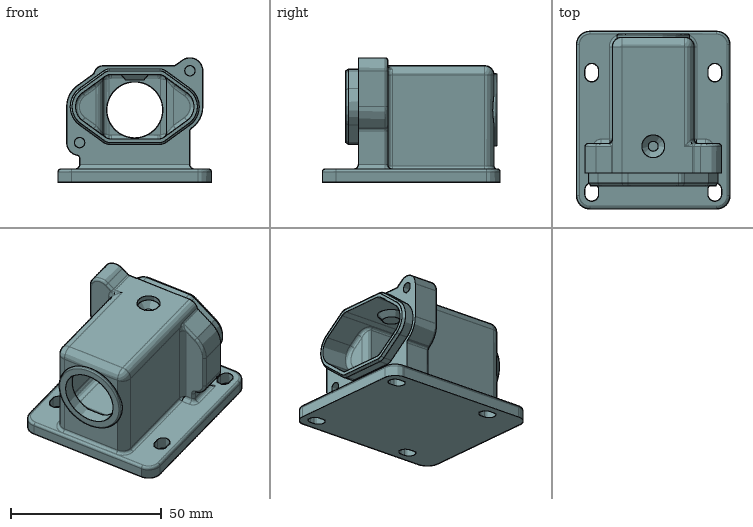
import cadquery as cq
import math

TOTAL_Z = 41.35

PLATE_X = 51.0
PLATE_Y = 59.0
PLATE_T = 4.5
PLATE_CORNER_R = 4.5
PLATE_EDGE_R = 0.95
SLOT_WIDTH = 4.5
SLOT_LENGTH = 6.0
SLOT_X = 20.4
SLOT_BACK_Y = 15.75
SLOT_FRONT_Y = -23.85

BODY_HALF_X = 13.55
BODY_TOP_Z = 38.75
BODY_BACK_Y = 27.5
BODY_EDGE_R = 3.2
BODY_FOOT_R = 1.0
WALL_BACK = 3.0

FLANGE_FRONT_Y = -17.6
FLANGE_BACK_Y = -7.8
FLANGE_MARGIN = 1.2
FLANGE_RIM_R = 0.9
FLANGE_CORNER_R = 1.0
FLANGE_BODY_R = 1.55
FLANGE_FOOT_R = 1.5
NECK_HALF_X = 18.3

COLLAR_FRONT_Y = -21.8
COLLAR_Z = 25.15
COLLAR_HALF_Z = 12.5
COLLAR_END_R = 7.5
COLLAR_END_X = 13.9
COLLAR_CORNER_R = 3.55
COLLAR_CHAMFER_Y = 0.95
COLLAR_CHAMFER_RADIAL = 0.65
COLLAR_WALL = 1.75
SLOPE = math.radians(36)

EAR_X = NECK_HALF_X
EAR_R = COLLAR_END_X + COLLAR_END_R + FLANGE_MARGIN - EAR_X
EAR_Z = TOTAL_Z - EAR_R - COLLAR_Z
EAR_HOLE_R = 1.7
EAR_HOLE_DEPTH = 7.1

POCKET_FLOOR_Y = -10.6
CHANNEL_HALF_X = 10.5
CHANNEL_MOUTH_R = 2.3
CHANNEL_BACK_R = 2.0
CAVITY_EDGE_R = 1.3

ENTRY_Z = 24.1
ENTRY_R = 9.25
ENTRY_BOSS_R = 12.05
ENTRY_BOSS_Y = 28.5
ENTRY_BOSS_EDGE_R = 0.5

DIMPLE_Y = -8.7
DIMPLE_TOP_R = 3.8
DIMPLE_FLOOR_R = 1.65
DIMPLE_STRAIGHT_DEPTH = 1.75
DIMPLE_CONE_DEPTH = 2.1
DIMPLE_BOSS_TOP_R = 4.6
DIMPLE_BOSS_END_R = 2.95
DIMPLE_BOSS_Z = 33.9

TOLERANCE = 0.005


def front_plane(y, z=0.0):
    """Plane facing -Y at the given y; extruding from it moves toward -Y."""
    return cq.Workplane("XZ", origin=(0, y, z))


def near(x, y, z):
    return cq.selectors.NearestToPointSelector((x, y, z))


def block(half_x, height, y_front, y_back):
    """Box standing on z = 0, centred on x = 0."""
    return front_plane(y_back, height / 2).rect(2 * half_x, height).extrude(y_back - y_front)


def mouth_prism(offset, y_front, y_back):
    """Elongated hexagon with round ends, grown by offset, as a prism along Y."""
    half_z = COLLAR_HALF_Z + offset
    end_r = COLLAR_END_R + offset
    tangent_x = COLLAR_END_X + end_r * math.sin(SLOPE)
    tangent_z = end_r * math.cos(SLOPE)
    corner_x = tangent_x - (half_z - tangent_z) / math.tan(SLOPE)
    end_x = COLLAR_END_X + end_r
    hexagon = (
        front_plane(y_back, COLLAR_Z)
        .moveTo(-corner_x, half_z)
        .lineTo(corner_x, half_z)
        .lineTo(tangent_x, tangent_z)
        .threePointArc((end_x, 0), (tangent_x, -tangent_z))
        .lineTo(corner_x, -half_z)
        .lineTo(-corner_x, -half_z)
        .lineTo(-tangent_x, -tangent_z)
        .threePointArc((-end_x, 0), (-tangent_x, tangent_z))
        .close()
        .extrude(y_back - y_front)
    )
    y_mid = (y_front + y_back) / 2
    for side in (-1, 1):
        for z in (COLLAR_Z - half_z, COLLAR_Z + half_z):
            hexagon = hexagon.edges(near(side * corner_x, y_mid, z)).fillet(COLLAR_CORNER_R)
    return hexagon


def make_plate():
    return (
        cq.Workplane("XY")
        .rect(PLATE_X, PLATE_Y)
        .extrude(PLATE_T)
        .edges("|Z")
        .fillet(PLATE_CORNER_R)
        .faces(">Z")
        .edges()
        .fillet(PLATE_EDGE_R)
    )


def make_body():
    return (
        block(BODY_HALF_X, BODY_TOP_Z, FLANGE_FRONT_Y, BODY_BACK_Y)
        .edges("(|Y and >Z) or (>Y and (not <Z))")
        .fillet(BODY_EDGE_R)
    )


def make_ear():
    """Upper ear with its tangent slope running down to the level of the body top."""
    tangent_x = EAR_X - EAR_R * math.sin(SLOPE)
    tangent_z = EAR_Z + EAR_R * math.cos(SLOPE)
    shoulder_z = BODY_TOP_Z - COLLAR_Z
    shoulder_x = tangent_x - (tangent_z - shoulder_z) / math.tan(SLOPE)
    return (
        front_plane(FLANGE_BACK_Y, COLLAR_Z)
        .moveTo(0, 0)
        .lineTo(EAR_X + EAR_R, 0)
        .lineTo(EAR_X + EAR_R, EAR_Z)
        .threePointArc((EAR_X, EAR_Z + EAR_R), (tangent_x, tangent_z))
        .lineTo(shoulder_x, shoulder_z)
        .lineTo(0, shoulder_z)
        .close()
        .extrude(FLANGE_BACK_Y - FLANGE_FRONT_Y)
    )


def turn_about_mouth(shape):
    """Half a turn about the mouth axis."""
    return shape.rotate((0, 0, COLLAR_Z), (0, 1, COLLAR_Z), 180)


def make_flange(body):
    span = (FLANGE_FRONT_Y, FLANGE_BACK_Y)
    neck = block(NECK_HALF_X, COLLAR_Z, *span)
    below_top = block(PLATE_X / 2, BODY_TOP_Z, *span)
    ear = make_ear()
    flange = (
        mouth_prism(FLANGE_MARGIN, *span)
        .intersect(below_top)
        .union(neck)
        .union(body.intersect(below_top))
        .union(ear)
        .union(turn_about_mouth(ear))
        .clean()
    )
    end_r = COLLAR_END_R + FLANGE_MARGIN
    end_meets_neck_z = COLLAR_Z - math.sqrt(end_r**2 - (NECK_HALF_X - COLLAR_END_X) ** 2)
    inward_corners = (
        (-NECK_HALF_X, COLLAR_Z - EAR_Z - EAR_R),
        (NECK_HALF_X, end_meets_neck_z),
        (-BODY_HALF_X, BODY_TOP_Z - BODY_EDGE_R),
        (BODY_HALF_X, BODY_TOP_Z),
    )
    y_mid = sum(span) / 2
    for x, z in inward_corners:
        flange = flange.edges(near(x, y_mid, z)).fillet(FLANGE_CORNER_R)
    return flange.faces(">Y").edges("not <Z").fillet(FLANGE_RIM_R)


def make_cavity():
    """Cavity open through the collar: a wide pocket leading into a narrower channel."""
    back_y = BODY_BACK_Y - WALL_BACK
    half_pocket = COLLAR_END_X + COLLAR_END_R
    outer_x = CHANNEL_HALF_X + CHANNEL_MOUTH_R
    inner_x = CHANNEL_HALF_X - CHANNEL_BACK_R
    bend = math.sqrt(0.5)
    mouth_mid = (outer_x - CHANNEL_MOUTH_R * bend, POCKET_FLOOR_Y + CHANNEL_MOUTH_R * (1 - bend))
    back_mid = (inner_x + CHANNEL_BACK_R * bend, back_y - CHANNEL_BACK_R * (1 - bend))
    half_plan = (
        cq.Workplane("XY")
        .moveTo(0, COLLAR_FRONT_Y)
        .lineTo(half_pocket, COLLAR_FRONT_Y)
        .lineTo(half_pocket, POCKET_FLOOR_Y)
        .lineTo(outer_x, POCKET_FLOOR_Y)
        .threePointArc(mouth_mid, (CHANNEL_HALF_X, POCKET_FLOOR_Y + CHANNEL_MOUTH_R))
        .lineTo(CHANNEL_HALF_X, back_y - CHANNEL_BACK_R)
        .threePointArc(back_mid, (inner_x, back_y))
        .lineTo(0, back_y)
        .close()
        .extrude(BODY_TOP_Z)
    )
    plan = half_plan.union(half_plan.mirror("YZ")).clean()
    cavity = mouth_prism(-COLLAR_WALL, COLLAR_FRONT_Y, back_y).intersect(plan)
    return cavity.faces(">Y").edges(">Z").fillet(CAVITY_EDGE_R)


def make_slots():
    places = [(side * SLOT_X, y) for side in (-1, 1) for y in (SLOT_BACK_Y, SLOT_FRONT_Y)]
    return (
        cq.Workplane("XY")
        .pushPoints(places)
        .slot2D(SLOT_LENGTH, SLOT_WIDTH, 90)
        .extrude(PLATE_T)
    )


def make_collar():
    collar = mouth_prism(0, COLLAR_FRONT_Y, FLANGE_BACK_Y)
    return collar.faces("<Y").chamfer(COLLAR_CHAMFER_Y, COLLAR_CHAMFER_RADIAL)


def make_entry_boss():
    root_y = BODY_BACK_Y - WALL_BACK
    boss = front_plane(ENTRY_BOSS_Y, ENTRY_Z).circle(ENTRY_BOSS_R).extrude(ENTRY_BOSS_Y - root_y)
    return boss.faces(">Y").edges().fillet(ENTRY_BOSS_EDGE_R)


def make_entry_hole():
    inner_y = BODY_BACK_Y - 2 * WALL_BACK
    return front_plane(ENTRY_BOSS_Y, ENTRY_Z).circle(ENTRY_R).extrude(ENTRY_BOSS_Y - inner_y)


def upright_cone(top_z, bottom_z, top_r, bottom_r):
    """Upright truncated cone on the dimple axis."""
    return (
        cq.Workplane("XY", origin=(0, DIMPLE_Y, bottom_z))
        .circle(bottom_r)
        .workplane(offset=top_z - bottom_z)
        .circle(top_r)
        .loft()
    )


def make_dimple():
    cone_top_z = BODY_TOP_Z - DIMPLE_STRAIGHT_DEPTH
    straight = upright_cone(BODY_TOP_Z, cone_top_z, DIMPLE_TOP_R, DIMPLE_TOP_R)
    cone = upright_cone(cone_top_z, cone_top_z - DIMPLE_CONE_DEPTH, DIMPLE_TOP_R, DIMPLE_FLOOR_R)
    return straight.union(cone)


def make_ear_hole():
    return (
        front_plane(FLANGE_FRONT_Y + EAR_HOLE_DEPTH, COLLAR_Z)
        .center(EAR_X, EAR_Z)
        .circle(EAR_HOLE_R)
        .extrude(EAR_HOLE_DEPTH)
    )


def is_foot_edge(edge):
    """True for edges lying on the plate's top face, away from its rim."""
    box = edge.BoundingBox()
    on_plate_top = abs(box.zmin - PLATE_T) < TOLERANCE and abs(box.zmax - PLATE_T) < TOLERANCE
    inside_x = max(abs(box.xmin), abs(box.xmax)) < PLATE_X / 2 - PLATE_EDGE_R - TOLERANCE
    inside_y = max(abs(box.ymin), abs(box.ymax)) < PLATE_Y / 2 - PLATE_EDGE_R - TOLERANCE
    return on_plate_top and inside_x and inside_y


def set_on_plate(part, foot_radius):
    """Join a part to the base plate with a rounded foot."""
    joined = make_plate().union(part).clean()
    foot = [edge for edge in joined.edges().vals() if is_foot_edge(edge)]
    return joined.newObject(foot).fillet(foot_radius)


body = make_body()
flange = make_flange(body)
housing = body.union(flange).clean()
for side in (-1, 1):
    corner = near(side * BODY_HALF_X, FLANGE_BACK_Y, COLLAR_Z)
    housing = housing.edges(corner).fillet(FLANGE_BODY_R)
shell = set_on_plate(housing, BODY_FOOT_R).union(set_on_plate(flange, FLANGE_FOOT_R))

cavity_top_z = COLLAR_Z + COLLAR_HALF_Z - COLLAR_WALL
ear_hole = make_ear_hole()
result = (
    shell
    .union(make_collar())
    .union(make_entry_boss())
    .cut(make_cavity())
    .union(upright_cone(cavity_top_z, DIMPLE_BOSS_Z, DIMPLE_BOSS_TOP_R, DIMPLE_BOSS_END_R))
    .cut(make_dimple())
    .cut(make_entry_hole())
    .cut(ear_hole)
    .cut(turn_about_mouth(ear_hole))
    .cut(make_slots())
)